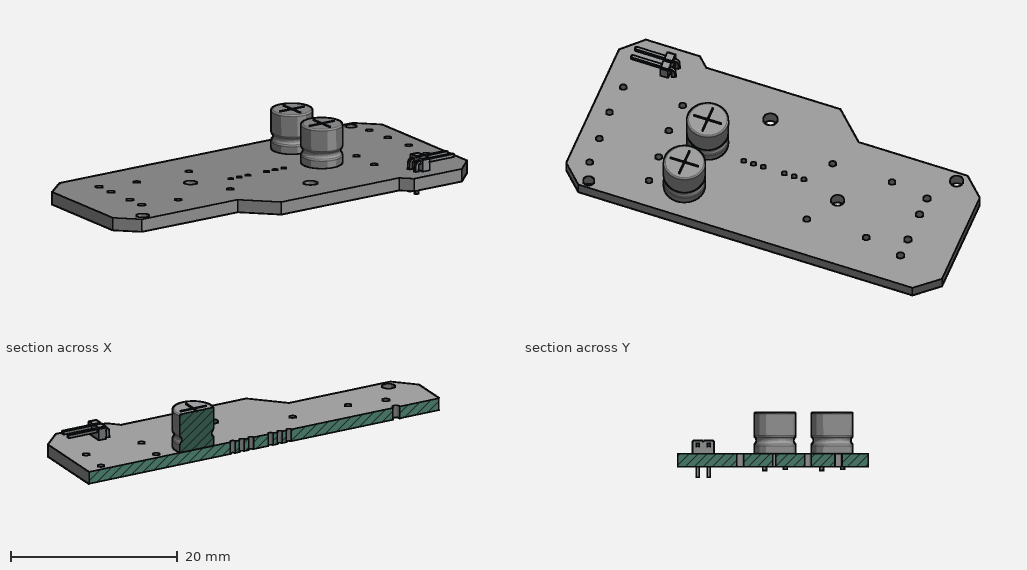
import cadquery as cq

board_width = 22.88
board_length = 48.25
board_thickness = 1.6
corner = 2.5
lower_left_rise = 2.85
neck_width = 17.8
middle_width = 21.55
neck_top = 16.5
shoulder_y = 38.8

mounting_holes = [
    (0.95, 44.8, 1.35),
    (17.2, 27.6, 1.75),
    (8.9, 15.85, 1.6),
    (16.6, 3.47, 1.6),
]

component_hole_diameter = 0.8
component_pitch = 7.63
upper_pairs = [(3.55, 38.05), (7.25, 38.15), (11.3, 38.4), (15.35, 38.15)]
lower_pairs = [(4.95, 10.65), (13.7, 10.65)]

sensor_hole_diameter = 0.65
sensor_x = 10.35
sensor_centers = [27.15, 21.95]
sensor_pitch = 1.25

wire_hole_diameter = 0.9
wire_y = 5.9
wire_pitch = 2.5
wire_starts = [3.95, 10.42]

can_diameter = 5.0
can_height = 4.95
can_top_fillet = 0.2
can_bottom_fillet = 0.1
belt_height = 1.6
belt_width = 0.9
belt_depth = 0.25
belt_fillet = 0.35
vent_diameter = 3.5
vent_slot = 0.1
lead_diameter = 0.5
lead_pitch = 2.5
short_lead = 0.3
long_lead = 0.45
capacitor_places = [(4.35, 33.8), (11.2, 33.4)]

pin_pitch = 1.3
pin_size = 0.4
first_pin_x = 19.15
pin_leg_y = 40.8
pin_tip_y = 46.25
pin_height = 1.05
pin_below = 1.25
pin_bend_radius = 0.6
pin_hole_diameter = 0.65
pin_tip_chamfer = 0.1
block_front_y = 41.25
block_back_y = 42.28
block_height = 1.6
block_chamfer = 0.15


def cylinder(x, y, diameter, bottom, top):
    return cq.Workplane("XY", origin=(x, y, bottom)).circle(diameter / 2).extrude(top - bottom)


def lead_places(x, y):
    return [(x - lead_pitch / 2, y, short_lead), (x + lead_pitch / 2, y, long_lead)]


def make_capacitor(x, y):
    radius = can_diameter / 2
    can = (
        cq.Workplane("XZ")
        .lineTo(radius, 0)
        .lineTo(radius, belt_height - belt_width / 2)
        .threePointArc((radius - belt_depth, belt_height), (radius, belt_height + belt_width / 2))
        .lineTo(radius, can_height)
        .lineTo(0, can_height)
        .close()
        .revolve(360, (0, 0, 0), (0, 1, 0))
    )
    can = can.faces(">Z").edges().fillet(can_top_fillet)
    can = can.faces("<Z").edges().fillet(can_bottom_fillet)
    belt_edges = cq.selectors.BoxSelector(
        (-radius, -radius, belt_height - belt_width), (radius, radius, belt_height + belt_width)
    )
    can = can.edges("%CIRCLE").edges(belt_edges).fillet(belt_fillet)
    for angle in (0, 90):
        slot = cq.Workplane("XY").box(vent_diameter, vent_slot, 2 * vent_slot)
        can = can.cut(slot.rotate((0, 0, 0), (0, 0, 1), angle).translate((0, 0, can_height)))
    capacitor = can.translate((x, y, board_thickness))
    for lead_x, lead_y, length in lead_places(x, y):
        capacitor = capacitor.union(
            cylinder(lead_x, lead_y, lead_diameter, -length, board_thickness + can_bottom_fillet)
        )
    return capacitor


def make_pin(x):
    half = pin_size / 2
    axis_z = board_thickness + pin_height
    pin = (
        cq.Workplane("YZ", origin=(x - half, 0, 0))
        .moveTo(pin_leg_y - half, -pin_below)
        .lineTo(pin_leg_y + half, -pin_below)
        .lineTo(pin_leg_y + half, axis_z - half)
        .lineTo(pin_tip_y, axis_z - half)
        .lineTo(pin_tip_y, axis_z + half)
        .lineTo(pin_leg_y - half, axis_z + half)
        .close()
        .extrude(pin_size)
    )
    pin = pin.edges("|X and >Z and <Y").fillet(pin_bend_radius)
    inner_corner = cq.selectors.NearestToPointSelector((x, pin_leg_y + half, axis_z - half))
    pin = pin.edges("|X").edges(inner_corner).fillet(pin_bend_radius - pin_size)
    return pin.faces(">Y").chamfer(pin_tip_chamfer)


def make_block(x):
    block = (
        cq.Workplane("XY")
        .box(pin_pitch, block_back_y - block_front_y, block_height, centered=(True, False, False))
        .edges("|Y and >Z")
        .chamfer(block_chamfer)
    )
    return block.translate((x, block_front_y, board_thickness))


def pin_places():
    return [first_pin_x, first_pin_x + pin_pitch]


def make_header():
    header = cq.Workplane("XY")
    for x in pin_places():
        header = header.union(make_block(x))
    for x in pin_places():
        header = header.union(make_pin(x))
    return header


def board_holes():
    holes = list(mounting_holes)
    for x, y in upper_pairs + lower_pairs:
        holes.append((x, y, component_hole_diameter))
        holes.append((x, y + component_pitch, component_hole_diameter))
    for y in sensor_centers:
        for offset in (-sensor_pitch, 0, sensor_pitch):
            holes.append((sensor_x, y + offset, sensor_hole_diameter))
    for x in wire_starts:
        holes.append((x, wire_y, wire_hole_diameter))
        holes.append((x + wire_pitch, wire_y, wire_hole_diameter))
    for place in capacitor_places:
        for x, y, _ in lead_places(*place):
            holes.append((x, y, lead_diameter))
    for x in pin_places():
        holes.append((x, pin_leg_y, pin_hole_diameter))
    return holes


def make_board():
    step = board_width - middle_width
    board = (
        cq.Workplane("XY")
        .polyline([
            (corner, 0),
            (neck_width - corner, 0),
            (neck_width, corner),
            (neck_width, neck_top),
            (middle_width, neck_top + middle_width - neck_width),
            (middle_width, shoulder_y - step),
            (board_width, shoulder_y),
            (board_width, board_length - corner),
            (board_width - corner, board_length),
            (corner, board_length),
            (0, board_length - corner),
            (0, lower_left_rise),
        ])
        .close()
        .extrude(board_thickness)
    )
    for x, y, diameter in board_holes():
        board = board.cut(cylinder(x, y, diameter, 0, board_thickness))
    return board


board = make_board()
capacitors = [make_capacitor(x, y) for x, y in capacitor_places]
header = make_header()
result = cq.Compound.makeCompound([board.val(), *[c.val() for c in capacitors], header.val()])